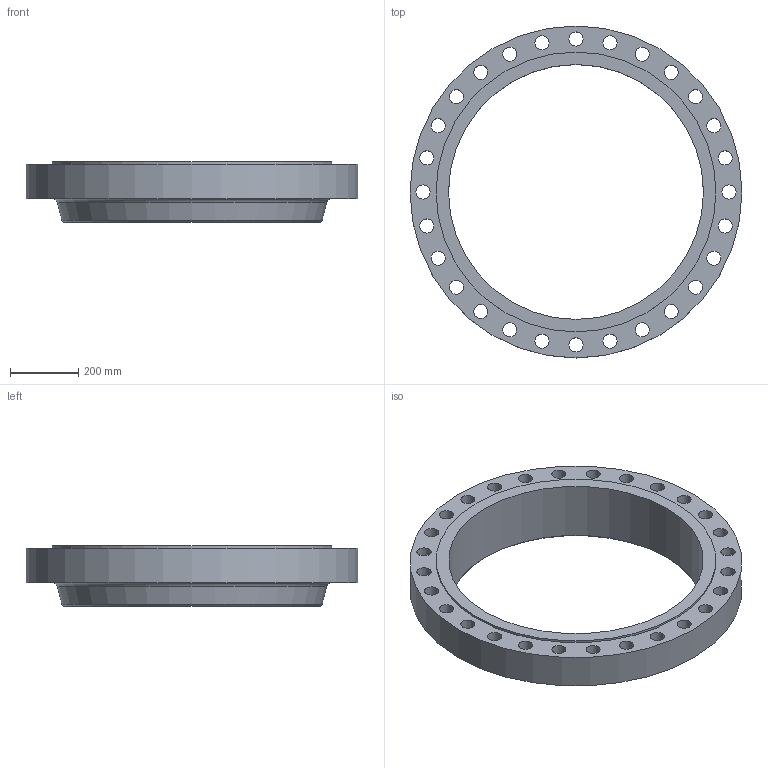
import cadquery as cq
import math

flange_diameter = 971.55
total_height = 176.21
bore_diameter = 746.13

raised_face_diameter = 819.15
raised_face_height = 6.35

flange_thickness = 101.6

hub_end_diameter = 762
hub_taper_angle = 14.6
hub_root_fillet = 13.5
bevel_height = 6.0
weld_land_width = 1.6

bolt_count = 28
bolt_circle_diameter = 895.35
bolt_hole_diameter = 41.275

flange_top = total_height - raised_face_height
flange_bottom = flange_top - flange_thickness


def make_body():
    """Revolve the half section; radii run along -X so the seam lies on the -X side."""
    bore_radius = bore_diameter / 2
    flange_radius = flange_diameter / 2
    face_radius = raised_face_diameter / 2
    hub_end_radius = hub_end_diameter / 2
    taper = math.radians(hub_taper_angle)

    center_z = flange_bottom - hub_root_fillet
    taper_end_z = center_z + hub_root_fillet * math.sin(taper)
    taper_end_radius = hub_end_radius + (taper_end_z - bevel_height) * math.tan(taper)
    center_radius = taper_end_radius + hub_root_fillet * math.cos(taper)
    mid_angle = (math.pi / 2 + taper) / 2
    mid_radius = center_radius - hub_root_fillet * math.cos(mid_angle)
    mid_z = center_z + hub_root_fillet * math.sin(mid_angle)

    section = (
        cq.Workplane("XZ")
        .moveTo(-bore_radius, 0)
        .lineTo(-(bore_radius + weld_land_width), 0)
        .lineTo(-hub_end_radius, bevel_height)
        .lineTo(-taper_end_radius, taper_end_z)
        .threePointArc((-mid_radius, mid_z), (-center_radius, flange_bottom))
        .lineTo(-flange_radius, flange_bottom)
        .lineTo(-flange_radius, flange_top)
        .lineTo(-face_radius, flange_top)
        .lineTo(-face_radius, total_height)
        .lineTo(-bore_radius, total_height)
        .close()
    )
    return section.revolve(360, (0, 0, 0), (0, 1, 0))


def make_bolt_holes():
    """Full-depth cylinders through the flange plate, the first one on the +X axis."""
    return (
        cq.Workplane("XY")
        .workplane(offset=flange_bottom)
        .polarArray(bolt_circle_diameter / 2, 0, 360, bolt_count, rotate=False)
        .circle(bolt_hole_diameter / 2)
        .extrude(flange_thickness)
    )


result = make_body().cut(make_bolt_holes())